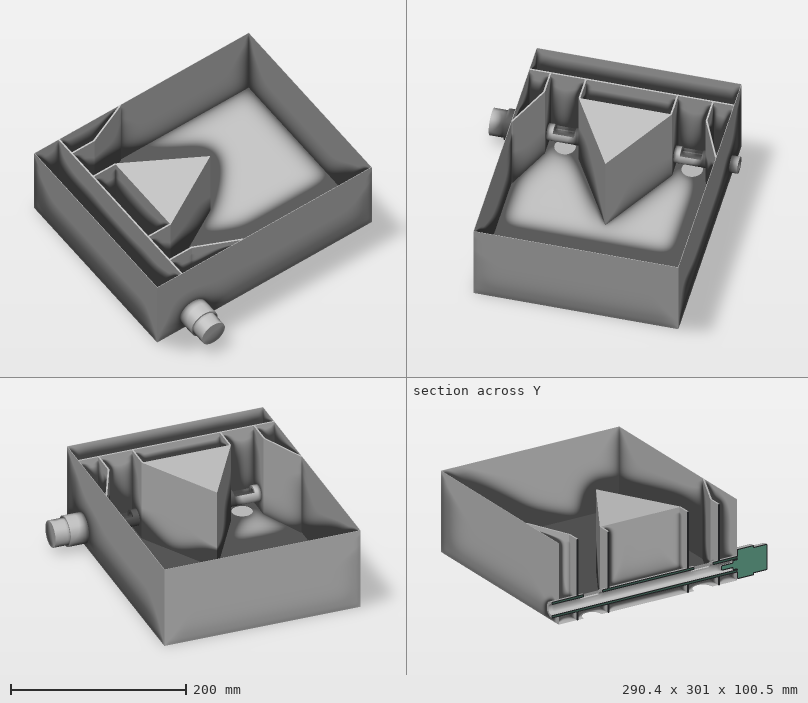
import cadquery as cq
import math

TRAY_WIDTH = 240.8
TRAY_LENGTH = 301.0
TRAY_HEIGHT = 100.5
SHEET = 0.5
PLATE = 2.0

DIVIDER_FRONT = 33.7
TUBE_FROM_FRONT = 50.3
CHEEK_END = 66.0

WEDGE_WIDTH = 109.5
GUIDE_OFFSET = 95.5
GUIDE_ANGLE = 24.1

AXIS_HEIGHT = 20.5
TUBE_RADIUS = 10.0
BORE_RADIUS = 6.5
TUBE_OVERHANG = 9.5
TUBE_ROLL = 11.5
POCKET_LENGTH = 25.0
POCKET_WIDTH = 18.0
OUTLET_RADIUS = 12.3

GEARBOX_RADIUS = 18.5
GEARBOX_LENGTH = 22.3
MOTOR_RADIUS = 16.0
MOTOR_LENGTH = 17.8
BOSS_RADIUS = 6.0
BOSS_LENGTH = 6.0
SHAFT_RADIUS = 3.0
SHAFT_LENGTH = 22.0

SIDE = TRAY_WIDTH / 2
INNER_SIDE = SIDE - SHEET
FRONT = -TRAY_LENGTH / 2
DIVIDER_BACK = FRONT + DIVIDER_FRONT + PLATE
TUBE_Y = FRONT + TUBE_FROM_FRONT
CHEEK_Y = FRONT + CHEEK_END
PLATE_HEIGHT = TRAY_HEIGHT - SHEET
TUBE_START = -SIDE - TUBE_OVERHANG
CHANNEL_X = (GUIDE_OFFSET - PLATE / 2 + WEDGE_WIDTH / 2) / 2


def rod(start_x, length, radius):
    """Cylinder along +X on the tube axis."""
    return cq.Workplane("YZ", origin=(start_x, TUBE_Y, AXIS_HEIGHT)).circle(radius).extrude(length)


def standing(points):
    """Upright plate with the given plan outline, from the floor to the rim."""
    return cq.Workplane("XY", origin=(0, 0, SHEET)).polyline(points).close().extrude(PLATE_HEIGHT)


def tray_block():
    """Solid block with the outer size of the tray."""
    return cq.Workplane("XY").box(TRAY_WIDTH, TRAY_LENGTH, TRAY_HEIGHT, centered=(True, True, False))


def tube_hole():
    """Round passage for the tube through the wedge cheeks and the guides."""
    return rod(TUBE_START, INNER_SIDE - TUBE_START, TUBE_RADIUS)


def make_divider():
    """Upright plate across the whole tray, flush with its outer side faces."""
    return standing([
        (-SIDE, DIVIDER_BACK - PLATE),
        (SIDE, DIVIDER_BACK - PLATE),
        (SIDE, DIVIDER_BACK),
        (-SIDE, DIVIDER_BACK),
    ])


def make_guide(side):
    """Straight plate behind the divider, bent outwards into the side wall (side is -1 or 1)."""
    lean = math.radians(GUIDE_ANGLE)
    half = PLATE / 2
    miter = half * math.tan(lean / 2)
    run = (INNER_SIDE - GUIDE_OFFSET) / math.tan(lean)
    shift_x = half * math.cos(lean)
    shift_y = half * math.sin(lean)
    outline = [
        (GUIDE_OFFSET - half, DIVIDER_BACK),
        (GUIDE_OFFSET + half, DIVIDER_BACK),
        (GUIDE_OFFSET + half, CHEEK_Y - miter),
        (INNER_SIDE + shift_x, CHEEK_Y + run - shift_y),
        (INNER_SIDE - shift_x, CHEEK_Y + run + shift_y),
        (GUIDE_OFFSET - half, CHEEK_Y + miter),
    ]
    guide = standing([(side * x, y) for x, y in outline]).cut(tube_hole())
    return guide.intersect(tray_block())


def make_wedge():
    """Solid equilateral wedge with two cheeks reaching forward to the divider."""
    half = WEDGE_WIDTH / 2
    apex = CHEEK_Y + half * math.sqrt(3)
    outline = [
        (-half, DIVIDER_BACK),
        (-half + PLATE, DIVIDER_BACK),
        (-half + PLATE, CHEEK_Y),
        (half - PLATE, CHEEK_Y),
        (half - PLATE, DIVIDER_BACK),
        (half, DIVIDER_BACK),
        (half, CHEEK_Y),
        (0, apex),
        (-half, CHEEK_Y),
    ]
    return standing(outline).cut(tube_hole())


def make_tube():
    """Bored tube with a pocket, opened down to the axis plane, above each outlet."""
    length = INNER_SIDE - TUBE_START
    tube = rod(TUBE_START, length, TUBE_RADIUS)
    tube = tube.cut(rod(TUBE_START, length, BORE_RADIUS))
    for x in (-CHANNEL_X, CHANNEL_X):
        pocket = cq.Workplane("XY").box(
            POCKET_LENGTH, POCKET_WIDTH, TUBE_RADIUS, centered=(True, True, False)
        )
        tube = tube.cut(
            pocket.rotate((0, 0, 0), (1, 0, 0), TUBE_ROLL).translate((x, TUBE_Y, AXIS_HEIGHT))
        )
    return tube


def make_motor():
    """Gearbox and motor outside the right wall; boss and shaft reach into the tube bore."""
    motor = rod(SIDE, GEARBOX_LENGTH, GEARBOX_RADIUS)
    motor = motor.union(rod(SIDE + GEARBOX_LENGTH, MOTOR_LENGTH, MOTOR_RADIUS))
    motor = motor.union(rod(SIDE - BOSS_LENGTH, BOSS_LENGTH, BOSS_RADIUS))
    return motor.union(rod(SIDE - SHAFT_LENGTH, SHAFT_LENGTH, SHAFT_RADIUS))


def make_tray(inserts):
    """Open box with slots for the plates that reach into its walls."""
    tray = tray_block().faces(">Z").shell(-SHEET)
    for insert in inserts:
        tray = tray.cut(insert)
    tray = tray.cut(rod(-SIDE, SHEET, TUBE_RADIUS))
    tray = tray.cut(rod(INNER_SIDE, SHEET, BOSS_RADIUS))
    outlets = (
        cq.Workplane("XY")
        .pushPoints([(-CHANNEL_X, TUBE_Y), (CHANNEL_X, TUBE_Y)])
        .circle(OUTLET_RADIUS)
        .extrude(SHEET)
    )
    return tray.cut(outlets)


divider = make_divider()
guides = [make_guide(side) for side in (-1, 1)]
wedge = make_wedge()
tube = make_tube()
motor = make_motor()
tray = make_tray([divider, *guides])

result = cq.Compound.makeCompound([
    tray.val(),
    divider.val(),
    *[guide.val() for guide in guides],
    wedge.val(),
    tube.val(),
    motor.val(),
])